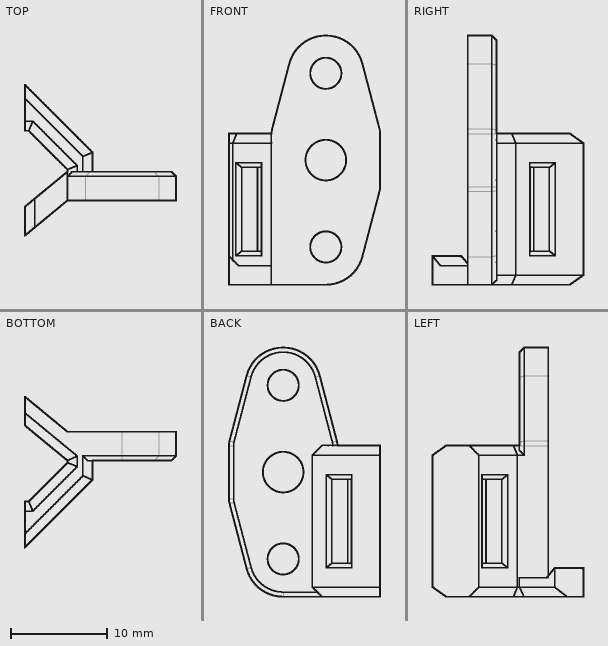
import cadquery as cq
import math

half_height = 12.95
half_width = 5.65
plate_thickness = 3.0
plate_chamfer = 0.5
main_hole_diameter = 4.2
end_hole_diameter = 3.2
end_hole_offset = 9.0
end_radius = half_height - end_hole_offset
flank_angle = math.radians(14.7)
shoulder_radius = 2.0

left_x = -10.07
edge_chamfer = 1.0
wing_top = 2.77
wing_right_x = -3.03
wing_back_y = 12.05
wing_tip_y = 7.22
wing_front_sum = -2.43
wing_back_sum = left_x + wing_back_y
wing_root_y = plate_thickness - plate_chamfer
tab_front_y = -3.65
tab_back_y = tab_front_y + plate_thickness
tab_height = 2.0
tab_tip_rise = 1.0

window_x = -8.0
window_z = -5.1
window_mouth_width = 3.78
window_mouth_height = 9.63
window_flare = 0.47
window_flare_depth = 0.4

clearance = 5.18


def make_plate():
    tangent_x = end_radius * math.cos(flank_angle)
    tangent_z = end_hole_offset + end_radius * math.sin(flank_angle)
    shoulder_z = tangent_z - (half_width - tangent_x) / math.tan(flank_angle)
    plate = (
        cq.Workplane("XZ")
        .moveTo(-half_width, -half_height)
        .lineTo(0, -half_height)
        .threePointArc(
            (
                end_radius * math.sin(math.pi / 4),
                -end_hole_offset - end_radius * math.cos(math.pi / 4),
            ),
            (tangent_x, -tangent_z),
        )
        .lineTo(half_width, -shoulder_z)
        .lineTo(half_width, shoulder_z)
        .lineTo(tangent_x, tangent_z)
        .threePointArc((0, half_height), (-tangent_x, tangent_z))
        .lineTo(-half_width, shoulder_z)
        .close()
        .extrude(-plate_thickness)
    )
    shoulders = cq.selectors.BoxSelector(
        (-half_width - 0.25, -0.25, -shoulder_z - 0.25),
        (half_width + 0.25, plate_thickness + 0.25, shoulder_z + 0.25),
    )
    plate = plate.edges("|Y").edges(shoulders).fillet(shoulder_radius)
    return plate.faces(">Y").edges().chamfer(plate_chamfer)


def edge_bevel(outline, z, direction):
    """45 degree bevel cutter: grows from the outline towards an end face at z."""
    base_z = z - direction * edge_chamfer
    base = cq.Workplane("XY").workplane(offset=base_z).polyline(outline).close().val()
    grown = base.offset2D(edge_chamfer, "intersection")[0]
    end = grown.moved(cq.Location(cq.Vector(0, 0, direction * edge_chamfer)))
    return cq.Workplane(obj=cq.Solid.makeLoft([base, end], True))


def recess_outline(lower_points):
    """Open space left of the wing's front faces, closed by the given points."""
    return [
        (left_x - clearance, wing_tip_y),
        (wing_front_sum - wing_tip_y, wing_tip_y),
        (-half_width, wing_front_sum + half_width),
    ] + lower_points


def make_wing():
    wing = (
        cq.Workplane("XY")
        .workplane(offset=-half_height)
        .polyline(
            [
                (left_x, wing_back_y),
                (wing_right_x, wing_back_sum - wing_right_x),
                (wing_right_x, wing_root_y),
                (-half_width, wing_root_y),
                (-half_width, wing_front_sum + half_width),
                (wing_front_sum - wing_tip_y, wing_tip_y),
                (left_x, wing_tip_y),
            ]
        )
        .close()
        .extrude(half_height + wing_top)
    )
    oblique_back = cq.selectors.DirectionMinMaxSelector(cq.Vector(1, 1, 0))
    back_faces = wing.faces(">X").add(wing.faces(oblique_back))
    wing = back_faces.edges("not |Z").chamfer(edge_chamfer)
    top_recess = recess_outline([(-half_width, -clearance), (left_x - clearance, -clearance)])
    return wing.cut(edge_bevel(top_recess, wing_top, 1))


def make_tab():
    tab = (
        cq.Workplane("XY")
        .workplane(offset=-half_height)
        .polyline(
            [
                (left_x, tab_front_y),
                (-half_width, 0),
                (-half_width, plate_thickness),
                (left_x, tab_back_y),
            ]
        )
        .close()
        .extrude(tab_height + tab_tip_rise)
    )
    tab_top = -half_height + tab_height
    profile = (
        cq.Workplane("XZ")
        .polyline(
            [
                (left_x, -half_height),
                (-half_width, -half_height),
                (-half_width, tab_top),
                (left_x + tab_tip_rise, tab_top),
                (left_x, tab_top + tab_tip_rise),
            ]
        )
        .close()
        .extrude(wing_back_y, both=True)
    )
    return tab.intersect(profile)


def make_window():
    thickness = (wing_back_sum - wing_front_sum) / math.sqrt(2)
    throat_width = window_mouth_width - 2 * window_flare
    throat_height = window_mouth_height - 2 * window_flare
    front = cq.Plane(
        origin=(window_x, wing_front_sum - window_x, window_z),
        xDir=(1, -1, 0),
        normal=(1, 1, 0),
    )
    window = cq.Workplane(front).rect(throat_width, throat_height).extrude(thickness)
    for mouth, throat in (
        (0, window_flare_depth),
        (thickness, thickness - window_flare_depth),
    ):
        flare = (
            cq.Workplane(front)
            .workplane(offset=mouth)
            .rect(window_mouth_width, window_mouth_height)
            .workplane(offset=throat - mouth)
            .rect(throat_width, throat_height)
            .loft()
        )
        window = window.union(flare)
    return window


def make_holes():
    holes = cq.Workplane("XZ").circle(main_hole_diameter / 2).extrude(-plate_thickness)
    ends = (
        cq.Workplane("XZ")
        .pushPoints([(0, -end_hole_offset), (0, end_hole_offset)])
        .circle(end_hole_diameter / 2)
        .extrude(-plate_thickness)
    )
    return holes.union(ends)


tab_slope = (plate_thickness - tab_back_y) / (-half_width - left_x)
bottom_recess = recess_outline(
    [
        (-half_width, plate_thickness),
        (left_x - clearance, tab_back_y - clearance * tab_slope),
    ]
)

result = (
    make_plate()
    .union(make_wing())
    .union(make_tab())
    .cut(edge_bevel(bottom_recess, -half_height, -1))
    .cut(make_window())
    .cut(make_holes())
)